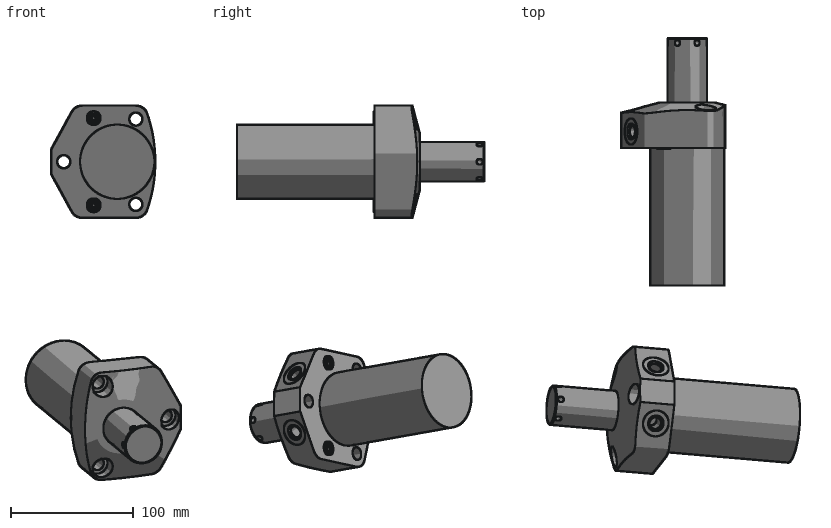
import cadquery as cq
import math


total_length = 201.8
flange_height = 37.1
rod_length = 52.7
barrel_length = total_length - flange_height - rod_length
barrel_radius = 30.3
rod_radius = 16.1

flange_left = -53.9
flange_right = 31.0
flange_half_width = 45.8
nose_half_width = 10.0
shoulder_x = -34.3
side_arc_radius = 119.0
corner_radius = 10.0

cone_flat_radius = 22.8
cone_angle = 15.0
cone_outer_radius = 80.7

bolt_hole_diameter = 10.5
bolt_head_diameter = 16.7
bolt_head_floor = 21.0
bolt_positions = [(-43.5, 0), (15.1, 34.7), (15.1, -34.7)]

port_height = 13.5
port_z = 24.6
port_spotface_diameter = 21.4
port_spotface_depth = 0.2
port_mouth_radius = 6.5
port_seat_radius = 5.5
port_seat_depth = 1.6
port_bore_radius = 4.8
port_depth = 18.2

seal_x = -19.2
seal_z = 35.5
seal_recess_radius = 5.6
seal_recess_depth = 1.2
seal_ring_section = 1.0
seal_ring_protrusion = 0.6
seal_hole_radius = 3.0
seal_hole_depth = 4.0
seal_drill_radius = 1.6
seal_drill_depth = 8.0

rod_dimple_count = 6
rod_dimple_diameter = 5.0
rod_dimple_from_tip = 4.0
rod_tip_chamfer = 0.8

Y_AXIS = cq.Vector(0, 1, 0)
rod_tip = flange_height + rod_length


def cylinder(radius, length, start, direction=Y_AXIS):
    return cq.Workplane(cq.Solid.makeCylinder(radius, length, start, direction))


def make_flange():
    side_drop = side_arc_radius - math.sqrt(side_arc_radius**2 - flange_half_width**2)
    corner_x = flange_right - side_drop
    outline = (
        cq.Workplane("XZ")
        .moveTo(flange_left, -nose_half_width)
        .lineTo(shoulder_x, -flange_half_width)
        .lineTo(corner_x, -flange_half_width)
        .threePointArc((flange_right, 0), (corner_x, flange_half_width))
        .lineTo(shoulder_x, flange_half_width)
        .lineTo(flange_left, nose_half_width)
        .close()
    )
    block = outline.extrude(-flange_height)
    for x in (shoulder_x, corner_x):
        for z in (-flange_half_width, flange_half_width):
            nearest = cq.selectors.NearestToPointSelector((x, flange_height / 2, z))
            block = block.edges("|Y").edges(nearest).fillet(corner_radius)
    return block.intersect(make_cone_envelope())


def make_cone_envelope():
    cone_drop = (cone_outer_radius - cone_flat_radius) * math.tan(math.radians(cone_angle))
    return (
        cq.Workplane("XY")
        .moveTo(0, 0)
        .lineTo(0, flange_height)
        .lineTo(cone_flat_radius, flange_height)
        .lineTo(cone_outer_radius, flange_height - cone_drop)
        .lineTo(cone_outer_radius, 0)
        .close()
        .revolve(360, (0, 0, 0), (0, 1, 0))
    )


def make_rod():
    rod = cylinder(rod_radius, rod_length, cq.Vector(0, flange_height, 0))
    dimple_radius = rod_dimple_diameter / 2
    rod = rod.faces(">Y").chamfer(rod_tip_chamfer)
    for index in range(rod_dimple_count):
        angle = 2 * math.pi * index / rod_dimple_count
        outward = cq.Vector(math.cos(angle), 0, math.sin(angle))
        mouth = outward * rod_radius + Y_AXIS * (rod_tip - rod_dimple_from_tip)
        start = mouth + outward * dimple_radius
        dimple = cq.Solid.makeCone(2 * dimple_radius, 0, 2 * dimple_radius, start, -outward)
        rod = rod.cut(cq.Workplane(dimple))
    return rod


def bolt_hole(x, z):
    start = cq.Vector(x, 0, z)
    head_start = cq.Vector(x, bolt_head_floor, z)
    shank = cylinder(bolt_hole_diameter / 2, flange_height, start)
    head = cylinder(bolt_head_diameter / 2, flange_height, head_start)
    return shank.union(head)


def port(side):
    run = shoulder_x - flange_left
    rise = flange_half_width - nose_half_width
    face_x = flange_left + run * (port_z - nose_half_width) / rise
    mouth = cq.Vector(face_x, port_height, side * port_z)
    inward = cq.Vector(rise, 0, -side * run).normalized()

    floor = mouth + inward * port_spotface_depth
    spotface = cylinder(port_spotface_diameter / 2, port_spotface_depth, mouth, inward)
    seat = cq.Solid.makeCone(port_mouth_radius, port_seat_radius, port_seat_depth, floor, inward)
    bore = cylinder(port_bore_radius, port_depth, floor, inward)
    return spotface.union(cq.Workplane(seat)).union(bore)


def seal_recess(z):
    start = cq.Vector(seal_x, 0, z)
    recess = cylinder(seal_recess_radius, seal_recess_depth, start)
    hole = cylinder(seal_hole_radius, seal_hole_depth, start)
    drill = cylinder(seal_drill_radius, seal_drill_depth, start)
    return recess.union(hole).union(drill)


def seal_ring(z):
    ring_center = cq.Vector(seal_x, seal_ring_section - seal_ring_protrusion, z)
    ring_radius = seal_recess_radius - seal_ring_section
    return cq.Workplane(cq.Solid.makeTorus(ring_radius, seal_ring_section, ring_center, Y_AXIS))


flange = make_flange()
for bolt_x, bolt_z in bolt_positions:
    flange = flange.cut(bolt_hole(bolt_x, bolt_z))
for port_side in (-1, 1):
    flange = flange.cut(port(port_side))
for ring_z in (-seal_z, seal_z):
    flange = flange.cut(seal_recess(ring_z)).union(seal_ring(ring_z))

barrel = cylinder(barrel_radius, barrel_length, cq.Vector(0, -barrel_length, 0))
result = flange.union(barrel).union(make_rod())